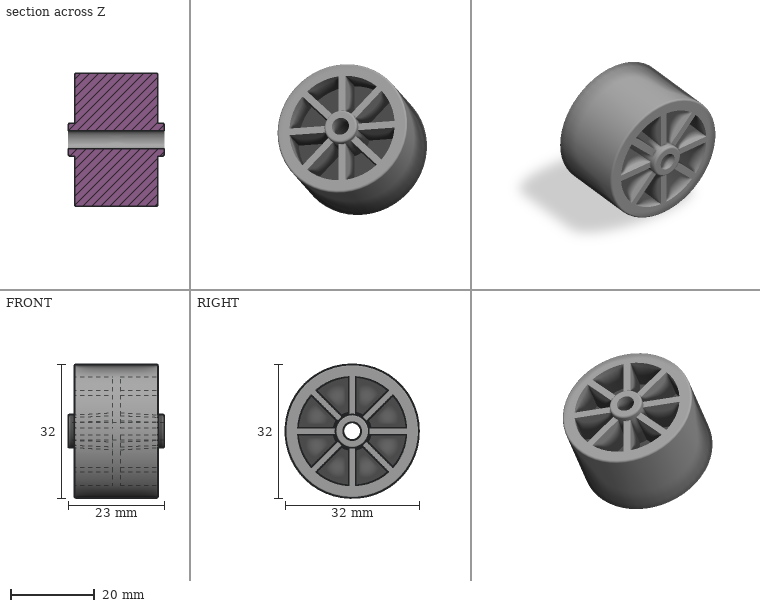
import cadquery as cq

wheel_diameter = 32.0
wheel_width = 20.0
wheel_edge_radius = 0.48
hub_diameter = 8.0
hub_length = 23.0
hub_edge_radius = 0.48
bore_diameter = 4.2
rim_inner_diameter = 26.0
rib_count = 8
rib_thickness = 1.65
web_thickness = 2.0
hub_root_diameter = 9.0

pocket_depth = (wheel_width - web_thickness) / 2


def cylinder_along_x(diameter, length):
    return cq.Workplane("YZ", origin=(-length / 2, 0, 0)).circle(diameter / 2).extrude(length)


def pocket_ring():
    """Annular recess in the -X face, around a hub that widens towards the web."""
    face_x = -wheel_width / 2
    floor_x = face_x + pocket_depth
    return (
        cq.Workplane("XY")
        .moveTo(face_x, hub_diameter / 2)
        .lineTo(face_x, rim_inner_diameter / 2)
        .lineTo(floor_x, rim_inner_diameter / 2)
        .lineTo(floor_x, hub_root_diameter / 2)
        .close()
        .revolve(360, (0, 0, 0), (1, 0, 0))
    )


def ribs():
    """Straight bars across the wheel, each forming two opposite ribs."""
    bars = cq.Workplane("XY")
    for index in range(rib_count // 2):
        bar = cq.Workplane("XY").box(wheel_width, wheel_diameter, rib_thickness)
        bars = bars.add(bar.rotate((0, 0, 0), (1, 0, 0), index * 360 / rib_count))
    return bars.combine()


wheel = cylinder_along_x(wheel_diameter, wheel_width).edges().fillet(wheel_edge_radius)
pockets = pocket_ring().cut(ribs())
wheel = wheel.cut(pockets).cut(pockets.mirror("YZ"))

hub = cylinder_along_x(hub_diameter, hub_length).edges().fillet(hub_edge_radius)
result = wheel.union(hub).cut(cylinder_along_x(bore_diameter, hub_length))